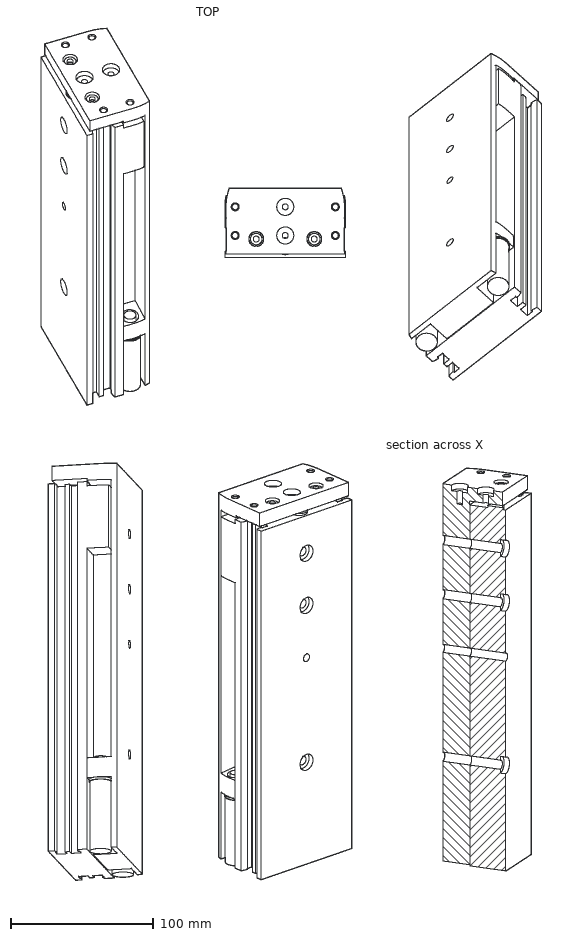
import cadquery as cq
import math

WIDTH = 85.0
DEPTH = 49.0
LENGTH = 279.5
HALF_WIDTH = WIDTH / 2

HOUSING_LENGTH = 266.7
SPLIT_Y = 28.0
GROOVE_FRONT_Y = 5.3
GROOVE_REAR_Y = 20.5
GROOVE_DEPTH = 9.8
MOUTH_FLARE = 0.8
MOUTH_DEPTH = 5.0
UNDERCUT = 1.0
RIB_FRONT_Y = 11.2
RIB_REAR_Y = 14.5
RIB_INSET = 4.5
STOP_BLOCK_BOTTOM = 218.5
STOP_BLOCK_TOP = 263.7
STOP_BLOCK_REAR_Y = 43.5
BOSS_DIAMETER = 12.0
BOSS_HEIGHT = 1.5
BOSS_Y = 8.0

SLIDE_INSET = 0.8
SLIDE_BOTTOM = 0.8
CURVE_START_Y = 36.0
CURVE_DROP = 2.2
BACK_PLATE_FRONT_Y = 45.0
SPINE_HALF_WIDTH = 22.5
SPINE_GAP = 0.3
END_PLATE_FRONT_Y = 2.5
END_PLATE_BOTTOM = 269.3
END_PAD_BOTTOM = 266.2
LOWER_STOP_BOTTOM = 52.0
LOWER_STOP_TOP = 68.2
STOP_SLOPE_RISE = 0.6

HOLE_PITCH = 40.0
TOP_HOLE_Z = 238.0
MOUNT_HOLE_DIAMETER = 6.5
COUNTERBORE_DIAMETER = 12.0
COUNTERBORE_DEPTH = 4.2
PLAIN_HOLE_DIAMETER = 5.5
COUNTERBORED_STEPS = (0, 1, 4)
PLAIN_HOLE_STEP = 2

END_HOLE_FRONT_Y = 15.7
END_HOLE_REAR_Y = 35.8
END_HOLE_X = 35.2
CORNER_HOLE_DIAMETER = 4.2
CORNER_HOLE_DEPTH = 8.5
CORNER_SINK_DIAMETER = 5.5
CENTRE_HOLE_DIAMETER = 4.2

ROD_X = 20.5
ROD_Y = 13.1
ROD_DIAMETER = 11.0
ROD_BOTTOM = 237.7
ROD_END_DIAMETER = 8.0
ROD_END_BORE = 10.0
ROD_END_RECESS = 1.7
ROD_SOCKET_DIAMETER = 4.2
ROD_SOCKET_DEPTH = 2.8

SHOCK_X = HALF_WIDTH - 8.0
SHOCK_Y = 36.0
SHOCK_DIAMETER = 15.0
SHOCK_FLANGE_DIAMETER = 16.2
SHOCK_FLANGE_THICKNESS = 1.7
SHOCK_BORE = 12.0
SHOCK_NECK_DIAMETER = 8.5


def box(x0, x1, y0, y1, z0, z1):
    return cq.Workplane("XY").box(x1 - x0, y1 - y0, z1 - z0, centered=False).translate((x0, y0, z0))


def cylinder(diameter, x, y, z0, z1):
    return cq.Workplane("XY", origin=(x, y, z0)).circle(diameter / 2).extrude(z1 - z0)


def curved_outline(half_width, z0, z1):
    """Full-depth bar whose sides curve inwards towards the rear face."""
    rise = DEPTH - CURVE_START_Y
    radius = (rise**2 + CURVE_DROP**2) / (2 * CURVE_DROP)
    half_angle = math.asin(rise / radius) / 2
    mid_x = half_width - radius * (1 - math.cos(half_angle))
    mid_y = CURVE_START_Y + radius * math.sin(half_angle)
    rear_x = half_width - CURVE_DROP
    return (
        cq.Workplane("XY", origin=(0, 0, z0))
        .moveTo(-half_width, 0)
        .lineTo(half_width, 0)
        .lineTo(half_width, CURVE_START_Y)
        .threePointArc((mid_x, mid_y), (rear_x, DEPTH))
        .lineTo(-rear_x, DEPTH)
        .threePointArc((-mid_x, mid_y), (-half_width, CURVE_START_Y))
        .close()
        .extrude(z1 - z0)
    )


def side_groove():
    """Undercut groove on the +X side with flared mouth walls and a rib along its floor."""
    floor_x = HALF_WIDTH - GROOVE_DEPTH
    rib_x = HALF_WIDTH - RIB_INSET
    neck_x = HALF_WIDTH - MOUTH_DEPTH
    flare_radius = (MOUTH_DEPTH**2 + MOUTH_FLARE**2) / (2 * MOUTH_FLARE)
    mid_x = neck_x + MOUTH_DEPTH / 2
    mid_flare = flare_radius - math.sqrt(flare_radius**2 - (MOUTH_DEPTH / 2) ** 2)
    return (
        cq.Workplane("XY")
        .moveTo(HALF_WIDTH, GROOVE_REAR_Y + MOUTH_FLARE)
        .threePointArc((mid_x, GROOVE_REAR_Y + mid_flare), (neck_x, GROOVE_REAR_Y))
        .lineTo(neck_x, GROOVE_REAR_Y + UNDERCUT)
        .lineTo(floor_x, GROOVE_REAR_Y + UNDERCUT)
        .lineTo(floor_x, RIB_REAR_Y)
        .lineTo(rib_x, RIB_REAR_Y)
        .lineTo(rib_x, RIB_FRONT_Y)
        .lineTo(floor_x, RIB_FRONT_Y)
        .lineTo(floor_x, GROOVE_FRONT_Y - UNDERCUT)
        .lineTo(neck_x, GROOVE_FRONT_Y - UNDERCUT)
        .lineTo(neck_x, GROOVE_FRONT_Y)
        .threePointArc((mid_x, GROOVE_FRONT_Y - mid_flare), (HALF_WIDTH, GROOVE_FRONT_Y - MOUTH_FLARE))
        .close()
        .extrude(HOUSING_LENGTH)
    )


def y_hole(diameter, step, depth):
    """Hole cutter from the front face, a number of pitches below the top hole."""
    z = TOP_HOLE_Z - step * HOLE_PITCH
    return cq.Workplane("XZ", origin=(0, 0, z)).circle(diameter / 2).extrude(-depth)


def cut_mount_holes(body):
    """Cut the holes that run through both the housing and the slide."""
    for step in COUNTERBORED_STEPS:
        body = body.cut(y_hole(MOUNT_HOLE_DIAMETER, step, DEPTH))
    return body.cut(y_hole(PLAIN_HOLE_DIAMETER, PLAIN_HOLE_STEP, DEPTH))


def make_housing():
    body = box(-HALF_WIDTH, HALF_WIDTH, 0, SPLIT_Y, 0, HOUSING_LENGTH)
    blocks = curved_outline(HALF_WIDTH, STOP_BLOCK_BOTTOM, STOP_BLOCK_TOP).intersect(
        box(-HALF_WIDTH, HALF_WIDTH, 0, STOP_BLOCK_REAR_Y, 0, LENGTH)
    )
    spine_half = SPINE_HALF_WIDTH + SPINE_GAP
    blocks = blocks.cut(box(-spine_half, spine_half, SPLIT_Y, DEPTH, 0, LENGTH))
    body = body.union(blocks)
    groove = side_groove()
    body = body.cut(groove).cut(groove.mirror("YZ"))
    body = cut_mount_holes(body)
    for step in COUNTERBORED_STEPS:
        body = body.cut(y_hole(COUNTERBORE_DIAMETER, step, COUNTERBORE_DEPTH))
    for side in (-1, 1):
        body = body.cut(cylinder(ROD_DIAMETER, side * ROD_X, ROD_Y, ROD_BOTTOM, HOUSING_LENGTH))
    boss = cylinder(BOSS_DIAMETER, 0, BOSS_Y, HOUSING_LENGTH, HOUSING_LENGTH + BOSS_HEIGHT)
    return body.union(boss)


def slide_blank():
    """Back plate, spine, lower stops and end plate, before any hole."""
    half = HALF_WIDTH - SLIDE_INSET
    back_plate = curved_outline(half, SLIDE_BOTTOM, LENGTH).intersect(
        box(-half, half, BACK_PLATE_FRONT_Y, DEPTH, 0, LENGTH)
    )
    spine = box(-SPINE_HALF_WIDTH, SPINE_HALF_WIDTH, SPLIT_Y, DEPTH, SLIDE_BOTTOM, LENGTH)
    behind_split = box(-half, half, SPLIT_Y, DEPTH, 0, LENGTH)
    lower_stop = curved_outline(half, LOWER_STOP_BOTTOM, LOWER_STOP_TOP).intersect(behind_split)
    end_pad = curved_outline(half, END_PAD_BOTTOM, LENGTH).intersect(behind_split)
    end_plate = curved_outline(half, END_PLATE_BOTTOM, LENGTH).intersect(
        box(-half, half, END_PLATE_FRONT_Y, DEPTH, 0, LENGTH)
    )
    blank = back_plate.union(spine).union(lower_stop).union(end_pad).union(end_plate)
    for side in (-1, 1):
        blank = blank.cut(stop_slope(side, LOWER_STOP_TOP, -2.8)).cut(stop_slope(side, END_PAD_BOTTOM, 2.8))
    return blank


def stop_slope(side, z, direction):
    """Wedge that slopes a stop face from the spine out to the side, in front of the back plate."""
    edge_x = HALF_WIDTH - SLIDE_INSET
    return (
        cq.Workplane("XZ", origin=(0, SPLIT_Y, 0))
        .moveTo(side * edge_x, z)
        .lineTo(side * SPINE_HALF_WIDTH, z)
        .lineTo(side * edge_x, z + direction * STOP_SLOPE_RISE)
        .close()
        .extrude(-(BACK_PLATE_FRONT_Y - SPLIT_Y))
    )


def corner_hole(x, y):
    """Blind hole with a 45 degree countersink at its mouth."""
    hole = cylinder(CORNER_HOLE_DIAMETER, x, y, LENGTH - CORNER_HOLE_DEPTH, LENGTH)
    sink_depth = (CORNER_SINK_DIAMETER - CORNER_HOLE_DIAMETER) / 2
    sink = (
        cq.Workplane("XY", origin=(x, y, LENGTH))
        .circle(CORNER_SINK_DIAMETER / 2)
        .extrude(-sink_depth, taper=45)
    )
    return hole.union(sink)


def make_slide():
    body = cut_mount_holes(slide_blank())
    for y in (END_HOLE_FRONT_Y, END_HOLE_REAR_Y):
        depth_end = END_PLATE_BOTTOM if y < SPLIT_Y else END_PAD_BOTTOM
        body = body.cut(cylinder(CENTRE_HOLE_DIAMETER, 0, y, depth_end, LENGTH))
        body = body.cut(cylinder(COUNTERBORE_DIAMETER, 0, y, LENGTH - COUNTERBORE_DEPTH, LENGTH))
        for side in (-1, 1):
            x = side * END_HOLE_X
            body = body.cut(corner_hole(x, y))
    for side in (-1, 1):
        body = body.cut(cylinder(ROD_END_BORE, side * ROD_X, ROD_Y, END_PLATE_BOTTOM, LENGTH))
        body = body.cut(cylinder(SHOCK_BORE, side * SHOCK_X, SHOCK_Y, LOWER_STOP_BOTTOM, LOWER_STOP_TOP))
    return body


def make_piston_rod(side):
    """Rod that enters the housing and ends in a socketed tip inside the end plate."""
    x = side * ROD_X
    tip_z = LENGTH - ROD_END_RECESS
    shaft = cylinder(ROD_DIAMETER, x, ROD_Y, ROD_BOTTOM, END_PLATE_BOTTOM)
    tip = cylinder(ROD_END_DIAMETER, x, ROD_Y, END_PLATE_BOTTOM, tip_z)
    socket = cylinder(ROD_SOCKET_DIAMETER, x, ROD_Y, tip_z - ROD_SOCKET_DEPTH, tip_z)
    return shaft.union(tip).cut(socket)


def make_shock_absorber(side):
    """Round barrel with a flange under the lower stop and a neck through it."""
    x = side * SHOCK_X
    barrel = cylinder(SHOCK_DIAMETER, x, SHOCK_Y, 0, LOWER_STOP_BOTTOM)
    flange_bottom = LOWER_STOP_BOTTOM - SHOCK_FLANGE_THICKNESS
    flange = cylinder(SHOCK_FLANGE_DIAMETER, x, SHOCK_Y, flange_bottom, LOWER_STOP_BOTTOM)
    neck = cylinder(SHOCK_NECK_DIAMETER, x, SHOCK_Y, LOWER_STOP_BOTTOM, LOWER_STOP_TOP)
    return barrel.union(flange).union(neck)


housing = make_housing()
slide = make_slide()
piston_rods = [make_piston_rod(side) for side in (-1, 1)]
shock_absorbers = [make_shock_absorber(side) for side in (-1, 1)]

result = cq.Compound.makeCompound(
    [housing.val(), slide.val()]
    + [rod.val() for rod in piston_rods]
    + [shock.val() for shock in shock_absorbers]
)